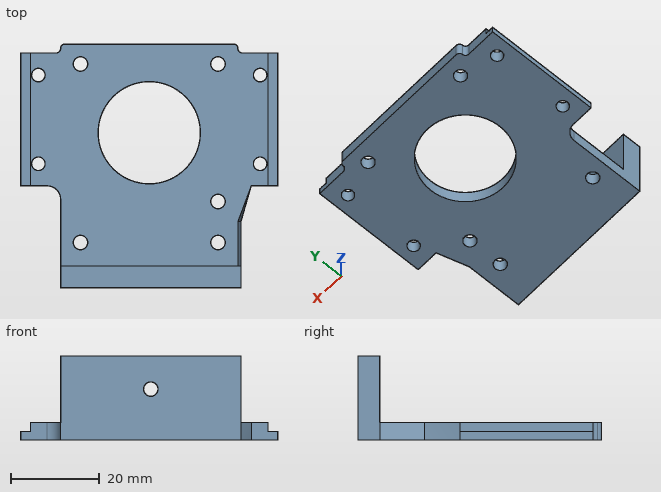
import cadquery as cq

PLATE_THICKNESS = 4.0
PLATE_HALF_WIDTH = 20.0
BACK_EDGE_Y = 20.0
PART_LENGTH = 55.0
FRONT_Y = BACK_EDGE_Y - PART_LENGTH

EAR_HALF_SPAN = 29.0
EAR_LENGTH = 30.0
TAB_DEPTH = 2.0
EAR_BACK_Y = BACK_EDGE_Y - TAB_DEPTH
EAR_FRONT_Y = EAR_BACK_Y - EAR_LENGTH
EAR_CENTER_Y = (EAR_BACK_Y + EAR_FRONT_Y) / 2
STEP_WIDTH = 2.2
STEP_HEIGHT = 2.0

TAB_RADIUS = TAB_DEPTH / 2
EAR_FILLET_RADIUS = 3.0

WALL_THICKNESS = 5.0
WALL_HEIGHT = 19.0
WALL_RIGHT_X = 20.7
WALL_BACK_Y = FRONT_Y + WALL_THICKNESS

FLANK_TOP_X = PLATE_HALF_WIDTH
FLANK_BOTTOM_X = WALL_RIGHT_X
FLANK_START_X = 23.0
FLANK_KNEE_Y = EAR_FRONT_Y - 8.0

BORE_DIAMETER = 23.0
MOTOR_HOLE_OFFSET = 15.5
MOTOR_HOLE_DIAMETER = 3.2
FRONT_HOLE_Y = FRONT_Y + 10.25
EAR_HOLE_X = 25.0
EAR_HOLE_SPACING = 20.0
EAR_HOLE_DIAMETER = 3.0
WALL_HOLE_DIAMETER = 3.2


def make_plate():
    """Plate with ears, a rounded back tab and a filleted left inner corner."""
    neck_x = PLATE_HALF_WIDTH
    tab_mid_y = EAR_BACK_Y + TAB_RADIUS
    fillet = EAR_FILLET_RADIUS
    outline = (
        cq.Workplane("XY")
        .moveTo(-neck_x, FRONT_Y)
        .lineTo(-neck_x, EAR_FRONT_Y - fillet)
        .radiusArc((-neck_x - fillet, EAR_FRONT_Y), -fillet)
        .lineTo(-EAR_HALF_SPAN, EAR_FRONT_Y)
        .lineTo(-EAR_HALF_SPAN, EAR_BACK_Y)
        .lineTo(-neck_x - TAB_RADIUS, EAR_BACK_Y)
        .radiusArc((-neck_x, tab_mid_y), -TAB_RADIUS)
        .radiusArc((-neck_x + TAB_RADIUS, BACK_EDGE_Y), TAB_RADIUS)
        .lineTo(neck_x - TAB_RADIUS, BACK_EDGE_Y)
        .radiusArc((neck_x, tab_mid_y), TAB_RADIUS)
        .radiusArc((neck_x + TAB_RADIUS, EAR_BACK_Y), -TAB_RADIUS)
        .lineTo(EAR_HALF_SPAN, EAR_BACK_Y)
        .lineTo(EAR_HALF_SPAN, EAR_FRONT_Y)
        .lineTo(neck_x, EAR_FRONT_Y)
        .lineTo(neck_x, FRONT_Y)
        .close()
    )
    return outline.extrude(PLATE_THICKNESS)


def flank_points(edge_x):
    """Section of the right flank whose straight stretch lies at edge_x."""
    return [
        (0, EAR_FRONT_Y),
        (FLANK_START_X, EAR_FRONT_Y),
        (edge_x, FLANK_KNEE_Y),
        (edge_x, WALL_BACK_Y),
        (0, WALL_BACK_Y),
    ]


def make_flank():
    """Leaning right flank, wider at the underside than at the top."""
    return (
        cq.Workplane("XY")
        .polyline(flank_points(FLANK_BOTTOM_X)).close()
        .workplane(offset=PLATE_THICKNESS)
        .polyline(flank_points(FLANK_TOP_X)).close()
        .loft(ruled=True)
    )


def make_wall():
    """Upright wall along the front edge with one hole through its thickness."""
    width = PLATE_HALF_WIDTH + WALL_RIGHT_X
    wall = cq.Workplane("XY").box(width, WALL_THICKNESS, WALL_HEIGHT, centered=False)
    wall = wall.translate((-PLATE_HALF_WIDTH, FRONT_Y, 0))
    hole_x = (WALL_RIGHT_X - PLATE_HALF_WIDTH) / 2
    hole_z = (PLATE_THICKNESS + WALL_HEIGHT) / 2
    hole = (
        cq.Workplane("XZ", origin=(hole_x, WALL_BACK_Y, hole_z))
        .circle(WALL_HOLE_DIAMETER / 2)
        .extrude(WALL_THICKNESS)
    )
    return wall.cut(hole)


def cut_ear_steps(body):
    """Lower the outer edge of both ears."""
    step_center_x = EAR_HALF_SPAN - STEP_WIDTH / 2
    depth = PLATE_THICKNESS - STEP_HEIGHT
    steps = (
        cq.Workplane("XY", origin=(0, EAR_CENTER_Y, STEP_HEIGHT))
        .pushPoints([(side * step_center_x, 0) for side in (-1, 1)])
        .rect(STEP_WIDTH, EAR_LENGTH)
        .extrude(depth)
    )
    return body.cut(steps)


def drill_plate(body, points, diameter):
    """Drill vertical holes through the plate."""
    drills = cq.Workplane("XY").pushPoints(points).circle(diameter / 2).extrude(PLATE_THICKNESS)
    return body.cut(drills)


motor_holes = [
    (-MOTOR_HOLE_OFFSET, MOTOR_HOLE_OFFSET),
    (MOTOR_HOLE_OFFSET, MOTOR_HOLE_OFFSET),
    (MOTOR_HOLE_OFFSET, -MOTOR_HOLE_OFFSET),
    (-MOTOR_HOLE_OFFSET, FRONT_HOLE_Y),
    (MOTOR_HOLE_OFFSET, FRONT_HOLE_Y),
]
ear_holes = [
    (side * EAR_HOLE_X, EAR_CENTER_Y + end * EAR_HOLE_SPACING / 2)
    for side in (-1, 1)
    for end in (-1, 1)
]

body = make_plate().union(make_flank()).union(make_wall())
body = cut_ear_steps(body)
body = drill_plate(body, [(0, 0)], BORE_DIAMETER)
body = drill_plate(body, motor_holes, MOTOR_HOLE_DIAMETER)
result = drill_plate(body, ear_holes, EAR_HOLE_DIAMETER)